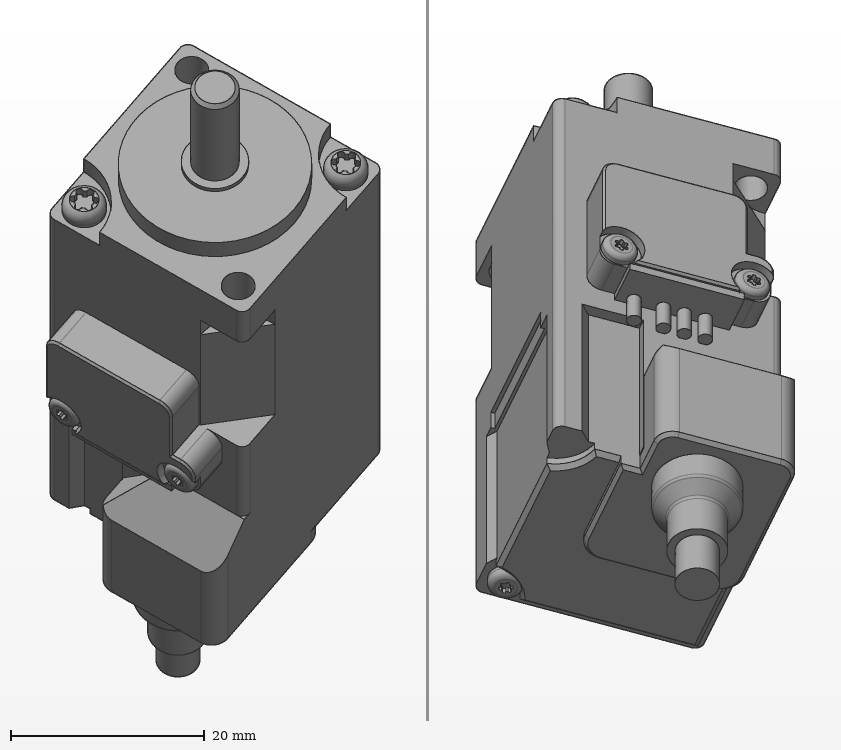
import cadquery as cq
import math


BODY_WIDTH = 25.0
HALF = BODY_WIDTH / 2
EDGE_RADIUS = 1.0
BODY_BOTTOM = -51.7
FLANGE_DEPTH = 7.9

SHAFT_DIA = 5.0
SHAFT_LENGTH = 16.0
SHAFT_CHAMFER = 0.4
PILOT_DIA = 20.0
PILOT_HEIGHT = 2.5
COLLAR_DIA = 7.0
COLLAR_HEIGHT = 0.5

SCREW_OFFSET = 9.7
MOUNT_HOLE_OFFSET = 9.9
POCKET_RADIUS = 6.7
POCKET_DEPTH = 2.3
MOUNT_HOLE_DIA = 3.5
MOUNT_THICKNESS = 5.35
NOTCH_SIZE = 5.5
NOTCH_BOTTOM = -23.8

SIDE_RECESS_DEPTH = 0.8
FRONT_RECESS_DEPTH = 1.2
RECESS_TOP = -32.55
SIDE_RECESS_Y = (-9.8, 8.5)
SIDE_FLOOR_Y = (-8.4, 7.4)
FRONT_RECESS_X = (-9.6, -2.9)
FRONT_FLOOR_LEFT = -8.5
LABEL_Y = (-7.9, 7.1)
LABEL_HEIGHT = 2.3
LABEL_DEPTH = 0.4

COVER_BOTTOM = -53.0
COVER_EDGE = 0.5
COVER_CORNER_RADIUS = 4.85
COVER_SCREW_OFFSET = 9.9

LOBE_COUNT = 6
LOBE_RATIO = 0.25
SOCKET_CORE_RATIO = 0.72

FRONT_REACH = 5.0
FRONT_Y = -HALF - FRONT_REACH
BOX_X = (-9.1, 6.8)
BOX_Z = (-29.7, -15.5)
BOX_RADIUS = 1.6
BOX_EDGE = 0.25
LUG_RIGHT = 9.7
LUG_TOP = NOTCH_BOTTOM
LUG_RADIUS = 1.9
BOX_SCREWS_X = (-7.05, 7.5)
BOX_SCREW_Z = -27.6
COUNTERBORE_DIA = 5.0
COUNTERBORE_DEPTH = 1.1
STRIP_X = (-6.0, 6.55)
STRIP_HEIGHT = 0.9
STRIP_REACH = 4.6
WIRE_DIA = 1.5
WIRES_X = (-4.2, -0.9, 1.4, 3.65)
WIRE_BOTTOM = -33.75
WIRE_REACH = 1.45

HOUSING_LEFT = -2.8
HOUSING_BACK = FRONT_RECESS_DEPTH - HALF
HOUSING_TOP = -36.0
HOUSING_BOTTOM = -54.1
HOUSING_RADIUS = 2.0
HOUSING_EDGE = 0.4
HIP_X = 2.0
TONGUE_LEFT = -4.9
TONGUE_BACK = 2.0
TONGUE_RADIUS = 2.55

GLAND_X = 3.4
GLAND_Y = -11.5
NECK_DIA = 8.4
GLAND_DIA = 9.4
GLAND_TOP = -54.4
CONE_TOP = -57.6
CONE_BOTTOM = -59.25
CONE_BLEND = 0.5
SLEEVE_DIA = 6.3
SLEEVE_BOTTOM = -64.0
CABLE_DIA = 4.6
CABLE_BOTTOM = -69.0


def box(x, y, z):
    """Box from (low, high) limits along each axis."""
    size = (x[1] - x[0], y[1] - y[0], z[1] - z[0])
    return cq.Workplane("XY").box(*size, centered=False).translate((x[0], y[0], z[0]))


def cylinder(dia, bottom, top, x=0.0, y=0.0):
    """Upright cylinder."""
    return cq.Workplane("XY", origin=(x, y, bottom)).circle(dia / 2).extrude(top - bottom)


def domed_screw(head_dia, flat_dia, rim, height, socket_dia, socket_depth):
    """Screw head standing on Z = 0, with a rounded top and a six-lobed socket."""
    head_radius = head_dia / 2
    flat_radius = flat_dia / 2
    bulge = math.sin(math.radians(45))
    arc_mid = (
        flat_radius + (head_radius - flat_radius) * bulge,
        rim + (height - rim) * bulge,
    )
    head = (
        cq.Workplane("XZ")
        .lineTo(head_radius, 0)
        .lineTo(head_radius, rim)
        .threePointArc(arc_mid, (flat_radius, height))
        .lineTo(0, height)
        .close()
        .revolve(360, (0, 0), (0, 1))
    )
    lobe_dia = LOBE_RATIO * socket_dia
    core_dia = SOCKET_CORE_RATIO * socket_dia
    floor = height - socket_depth
    socket = cylinder(core_dia, floor, height)
    lobe_place = (socket_dia - lobe_dia) / 2
    for lobe in range(LOBE_COUNT):
        angle = math.radians(90 + lobe * 360 / LOBE_COUNT)
        lobe_x = lobe_place * math.cos(angle)
        lobe_y = lobe_place * math.sin(angle)
        socket = socket.union(cylinder(lobe_dia, floor, height, lobe_x, lobe_y))
    return head.cut(socket)


def motor_body():
    body = box((-HALF, HALF), (-HALF, HALF), (BODY_BOTTOM, 0))
    body = body.edges("|Z").fillet(EDGE_RADIUS)
    body = body.union(cylinder(PILOT_DIA, -POCKET_DEPTH, PILOT_HEIGHT))
    body = body.union(cylinder(COLLAR_DIA, 0, PILOT_HEIGHT + COLLAR_HEIGHT))
    shaft = cylinder(SHAFT_DIA, 0, SHAFT_LENGTH).faces(">Z").chamfer(SHAFT_CHAMFER)
    return body.union(shaft)


def screw_pockets(body):
    """Quarter-round pockets with a screw head in two opposite corners."""
    screw = domed_screw(head_dia=4.6, flat_dia=3.1, rim=0.4, height=1.8, socket_dia=3.0, socket_depth=1.0)
    for side in (-1, 1):
        pocket = cylinder(2 * POCKET_RADIUS, -POCKET_DEPTH, 0, side * HALF, side * HALF)
        body = body.cut(pocket)
        body = body.union(screw.translate((side * SCREW_OFFSET, side * SCREW_OFFSET, -POCKET_DEPTH)))
    return body


def mounting_corners(body):
    """Bolt holes in the other two corners, each with a clearance notch below the flange."""
    for side in (-1, 1):
        corner_x = side * HALF
        corner_y = -side * HALF
        hole_x = side * MOUNT_HOLE_OFFSET
        hole_y = -side * MOUNT_HOLE_OFFSET
        round_notch = cylinder(2 * NOTCH_SIZE, -FLANGE_DEPTH, -MOUNT_THICKNESS, corner_x, corner_y)
        flat_notch = (
            cq.Workplane("XY", origin=(corner_x, corner_y, NOTCH_BOTTOM))
            .polyline([(0, 0), (-side * NOTCH_SIZE, 0), (0, side * NOTCH_SIZE)])
            .close()
            .extrude(-FLANGE_DEPTH - NOTCH_BOTTOM)
        )
        hole = cylinder(MOUNT_HOLE_DIA, -MOUNT_THICKNESS, 0, hole_x, hole_y)
        body = body.cut(round_notch).cut(flat_notch).cut(hole)
    return body


def side_recesses(body):
    """Shallow recesses on the -X and -Y faces, open at the lower end."""
    height = RECESS_TOP - BODY_BOTTOM
    side_floor = -HALF + SIDE_RECESS_DEPTH
    front_floor = -HALF + FRONT_RECESS_DEPTH
    low, high = SIDE_RECESS_Y
    floor_low, floor_high = SIDE_FLOOR_Y
    side = (
        cq.Workplane("XY", origin=(0, 0, BODY_BOTTOM))
        .polyline([(-HALF, low), (side_floor, floor_low), (side_floor, floor_high), (-HALF, high)])
        .close()
        .extrude(height)
    )
    left, right = FRONT_RECESS_X
    front = (
        cq.Workplane("XY", origin=(0, 0, BODY_BOTTOM))
        .polyline([(left, -HALF), (FRONT_FLOOR_LEFT, front_floor), (right, front_floor), (right, -HALF)])
        .close()
        .extrude(height)
    )
    label = box((-HALF, -HALF + LABEL_DEPTH), LABEL_Y, (RECESS_TOP, RECESS_TOP + LABEL_HEIGHT))
    return body.cut(side).cut(front).cut(label)


def rear_cover():
    """Inset end cover with cut corners on the -X side and one screw head."""
    reach_x = HALF - SIDE_RECESS_DEPTH
    reach_y = HALF - FRONT_RECESS_DEPTH
    cover = box((-reach_x, reach_x), (-reach_y, reach_y), (COVER_BOTTOM, BODY_BOTTOM))
    for side in (-1, 1):
        cover = cover.cut(cylinder(2 * COVER_CORNER_RADIUS, COVER_BOTTOM, BODY_BOTTOM, -HALF, side * HALF))
    cover = cover.faces("<Z").chamfer(COVER_EDGE)
    screw = domed_screw(head_dia=3.8, flat_dia=2.4, rim=0.4, height=1.4, socket_dia=1.5, socket_depth=0.7)
    screw = screw.rotate((0, 0, 0), (1, 0, 0), 180)
    return cover.union(screw.translate((-COVER_SCREW_OFFSET, COVER_SCREW_OFFSET, BODY_BOTTOM)))


def connector():
    """Rounded box on the front face with a side lug, two screws and four short wires."""
    depth = (FRONT_Y, -HALF)
    shell = box(BOX_X, depth, BOX_Z).edges("|Y").fillet(BOX_RADIUS)
    lug = box((0, LUG_RIGHT), depth, (BOX_Z[0], LUG_TOP)).edges("|Y and >X").fillet(LUG_RADIUS)
    shell = shell.union(lug).faces("<Y").chamfer(BOX_EDGE)
    screw = domed_screw(head_dia=3.8, flat_dia=2.4, rim=0.5, height=1.0, socket_dia=1.5, socket_depth=0.7)
    screw = screw.rotate((0, 0, 0), (1, 0, 0), 90)
    seat_y = FRONT_Y + COUNTERBORE_DEPTH
    for x in BOX_SCREWS_X:
        seat = cq.Workplane("XZ", origin=(x, seat_y, BOX_SCREW_Z))
        shell = shell.cut(seat.circle(COUNTERBORE_DIA / 2).extrude(COUNTERBORE_DEPTH))
        shell = shell.union(screw.translate((x, seat_y, BOX_SCREW_Z)))
    strip_bottom = BOX_Z[0] - STRIP_HEIGHT
    shell = shell.union(box(STRIP_X, (-HALF - STRIP_REACH, -HALF), (strip_bottom, BOX_Z[0])))
    wire_y = -HALF - WIRE_REACH + WIRE_DIA / 2
    for x in WIRES_X:
        shell = shell.union(cylinder(WIRE_DIA, WIRE_BOTTOM, strip_bottom, x, wire_y))
    return shell


def cable_housing():
    """Block on the front face, hipped at 45 degrees on top, with a tongue under the cover."""
    block = box((HOUSING_LEFT, HALF), (FRONT_Y, HOUSING_BACK), (HOUSING_BOTTOM, HOUSING_TOP))
    block = block.edges("|Z and <Y").fillet(HOUSING_RADIUS)
    front_slope = (
        cq.Workplane("YZ", origin=(HOUSING_LEFT, 0, 0))
        .polyline([
            (-HALF, HOUSING_TOP),
            (FRONT_Y, HOUSING_TOP),
            (FRONT_Y, HOUSING_TOP - FRONT_REACH),
        ])
        .close()
        .extrude(HALF - HOUSING_LEFT)
    )
    hip_width = HIP_X - HOUSING_LEFT
    left_slope = (
        cq.Workplane("XZ", origin=(0, HOUSING_BACK, 0))
        .polyline([
            (HIP_X, HOUSING_TOP),
            (HOUSING_LEFT, HOUSING_TOP),
            (HOUSING_LEFT, HOUSING_TOP - hip_width),
        ])
        .close()
        .extrude(HOUSING_BACK - FRONT_Y)
    )
    tongue = box((TONGUE_LEFT, HALF), (HOUSING_BACK, TONGUE_BACK), (HOUSING_BOTTOM, BODY_BOTTOM))
    tongue = tongue.edges("|Z and >Y").fillet(TONGUE_RADIUS)
    housing = block.cut(front_slope).cut(left_slope).union(tongue)
    return housing.faces("<Z").chamfer(HOUSING_EDGE)


def cable_gland():
    """Stepped gland and cable leaving the housing downwards."""
    profile = [
        (0, HOUSING_BOTTOM),
        (NECK_DIA / 2, HOUSING_BOTTOM),
        (NECK_DIA / 2, GLAND_TOP),
        (GLAND_DIA / 2, GLAND_TOP),
        (GLAND_DIA / 2, CONE_TOP),
        (SLEEVE_DIA / 2, CONE_BOTTOM),
        (SLEEVE_DIA / 2, SLEEVE_BOTTOM),
        (CABLE_DIA / 2, SLEEVE_BOTTOM),
        (CABLE_DIA / 2, CABLE_BOTTOM),
        (0, CABLE_BOTTOM),
    ]
    gland = cq.Workplane("XZ").polyline(profile).close().revolve(360, (0, 0), (0, 1))
    cone_rims = cq.selectors.BoxSelector(
        (-HALF, -HALF, CONE_BOTTOM - CONE_BLEND),
        (HALF, HALF, CONE_TOP + CONE_BLEND),
    )
    gland = gland.edges("%CIRCLE").edges(cone_rims).fillet(CONE_BLEND)
    return gland.translate((GLAND_X, GLAND_Y, 0))


result = side_recesses(mounting_corners(screw_pockets(motor_body())))
for attachment in (rear_cover(), connector(), cable_housing(), cable_gland()):
    result = result.union(attachment)